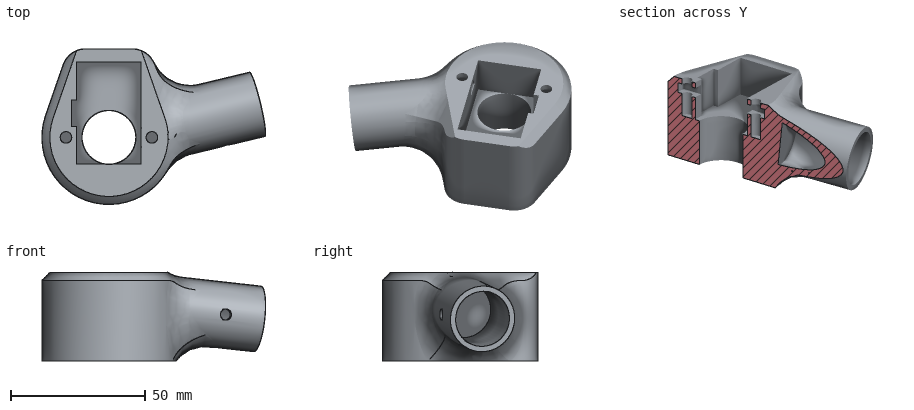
import cadquery as cq
import math

body_radius = 25.0
body_height = 33.0
rear_y = 33.0
rear_half_width = 15.0
rim_chamfer = 3.0
rim_slope = math.radians(45)
rear_corner_radius = 9.0

pocket_half_width = 12.0
pocket_front_y = -10.0
pocket_rear_y = 28.0
pocket_depth = 15.0
notch_depth = 2.0
notch_front_y = 4.0
notch_rear_y = 14.0
opening_diameter = 20.0

screw_diameter = 4.3
screw_x = 16.0
screw_depth = 15.0
nut_slot_width = 7.0
nut_slot_end_x = 20.0
nut_slot_floor_z = 27.0
nut_slot_height = 3.7

arm_diameter = 24.6
arm_bore_diameter = 20.6
arm_bore_depth = 30.0
arm_yaw = 13.5
arm_pitch = 6.2
arm_end = cq.Vector(55.21, 12.3, 15.7)
arm_length = 50.0
arm_blend_radius = 15.0
set_screw_diameter = 4.2
set_screw_from_end = 15.0

bisection_steps = 40
relief_stations = 8
relief_clearance = 0.02

top_margin = 6.0
bottom_margin = 15.0

blend_seam_x = 30.0

yaw = math.radians(arm_yaw)
pitch = math.radians(arm_pitch)
arm_direction = cq.Vector(
    math.cos(yaw) * math.cos(pitch),
    math.sin(yaw) * math.cos(pitch),
    -math.sin(pitch),
)
arm_side = cq.Vector(math.sin(yaw), -math.cos(yaw), 0)

side_normal = math.atan2(rear_y, rear_half_width) - math.acos(
    body_radius / math.hypot(rear_half_width, rear_y)
)
tangent_x = body_radius * math.cos(side_normal)
tangent_y = body_radius * math.sin(side_normal)


def box_between(x_range, y_range, z_range):
    """Axis-aligned block spanning three (low, high) ranges."""
    size = [high - low for low, high in (x_range, y_range, z_range)]
    corner = (x_range[0], y_range[0], z_range[0])
    return cq.Workplane("XY").box(*size, centered=False).translate(corner)


def body_prism(bottom_z, top_z):
    """Plain body outline: a front arc, two tangent sides and a straight rear edge."""
    return (
        cq.Workplane("XY", origin=(0, 0, bottom_z))
        .moveTo(rear_half_width, rear_y)
        .lineTo(tangent_x, tangent_y)
        .threePointArc((0, -body_radius), (-tangent_x, tangent_y))
        .lineTo(-rear_half_width, rear_y)
        .close()
        .extrude(top_z - bottom_z)
    )


def tall_body():
    """Body carried on past both flat faces, with its rim slope continued upwards."""
    bottom_z = -bottom_margin
    top_z = body_height + top_margin
    sloped = body_prism(bottom_z, top_z).faces(">Z").edges("not >Y").chamfer(rim_chamfer + top_margin)
    rounded = body_prism(bottom_z, top_z).edges("|Z and >Y").fillet(rear_corner_radius)
    return sloped.intersect(rounded)


def arm():
    start = arm_end - arm_direction * arm_length
    return cq.Workplane(cq.Solid.makeCylinder(arm_diameter / 2, arm_length, start, arm_direction))


def root_between(function, low, high):
    """Bisect for the zero of a function that changes sign between low and high."""
    rising = function(high) > 0
    for _ in range(bisection_steps):
        middle = (low + high) / 2
        if (function(middle) > 0) == rising:
            high = middle
        else:
            low = middle
    return (low + high) / 2


def edge_relief(edge_radius, edge_z, vertical, least_tilt):
    """Path swept by a blend-sized ball that rolls along a body edge while touching the arm.

    The edge lies at edge_z and its front arc has edge_radius. The ball is tilted away from the
    outward direction by at least least_tilt, upwards (vertical = 1) or downwards (vertical = -1).
    """

    def ball_center(along_edge, tilt):
        angle = side_normal + min(along_edge, 0) / edge_radius
        outward = cq.Vector(math.cos(angle), math.sin(angle), 0)
        along_side = cq.Vector(-outward.y, outward.x, 0) * max(along_edge, 0)
        offset = outward * math.cos(tilt) + cq.Vector(0, 0, vertical * math.sin(tilt))
        edge_point = outward * edge_radius + along_side + cq.Vector(0, 0, edge_z)
        return edge_point + offset * arm_blend_radius

    def arm_gap(along_edge, tilt):
        from_axis = (ball_center(along_edge, tilt) - arm_end).cross(arm_direction).Length
        return from_axis - arm_diameter / 2 - arm_blend_radius

    start = root_between(lambda s: arm_gap(s, least_tilt), -edge_radius, 0)
    end = root_between(lambda s: arm_gap(s, least_tilt), 0, edge_radius)
    centers = []
    for i in range(relief_stations + 1):
        s = start + (end - start) * (1 - math.cos(math.pi * i / relief_stations)) / 2
        tilt = root_between(lambda t: arm_gap(s, t), least_tilt, math.pi / 2)
        centers.append(ball_center(s, tilt))
    path = cq.Workplane("XY").spline(centers)
    start_plane = cq.Plane(centers[0], normal=path.val().tangentAt(0))
    return cq.Workplane(start_plane).circle(arm_blend_radius - relief_clearance).sweep(path)


def bottom_relief():
    return edge_relief(body_radius, 0, -1, 0)


def top_relief():
    return edge_relief(body_radius - rim_chamfer, body_height, 1, rim_slope)


def body_with_arm():
    """Body and arm joined by a rounded blend, then trimmed to the body height."""
    joined = tall_body().union(arm())
    joint_region = cq.selectors.BoxSelector(
        (rear_half_width, -body_radius, 0), (body_radius, rear_y, body_height)
    )
    joint = joined.edges(joint_region).edges("%BSPLINE or %ELLIPSE")
    blended = joint.fillet(arm_blend_radius)
    reach = 2 * (body_radius + arm_length)
    z_range = (0, body_height)
    body_part = blended.intersect(box_between((-reach, blend_seam_x), (-reach, reach), z_range))
    arm_part = blended.intersect(box_between((blend_seam_x, reach), (-reach, reach), z_range))
    return body_part.union(arm_part, clean=False)


def pocket():
    """Rectangular pocket with a shallow notch in its left side."""
    z_range = (body_height - pocket_depth, body_height)
    main = box_between(
        (-pocket_half_width, pocket_half_width), (pocket_front_y, pocket_rear_y), z_range
    )
    notch = box_between(
        (-pocket_half_width - notch_depth, 0), (notch_front_y, notch_rear_y), z_range
    )
    return main.union(notch)


def opening():
    return cq.Workplane("XY").circle(opening_diameter / 2).extrude(body_height)


def screw_hole(side):
    """Blind screw hole with a nut slot running into the pocket; side is -1 or 1."""
    hole = (
        cq.Workplane("XY", origin=(side * screw_x, 0, body_height - screw_depth))
        .circle(screw_diameter / 2)
        .extrude(screw_depth)
    )
    slot = box_between(
        sorted((0, side * nut_slot_end_x)),
        (-nut_slot_width / 2, nut_slot_width / 2),
        (nut_slot_floor_z, nut_slot_floor_z + nut_slot_height),
    )
    return hole.union(slot)


def arm_bore():
    return cq.Workplane(
        cq.Solid.makeCylinder(arm_bore_diameter / 2, arm_bore_depth, arm_end, arm_direction * -1)
    )


def set_screw_hole():
    """Hole through the front wall of the arm, square to the arm axis."""
    start = arm_end - arm_direction * set_screw_from_end
    return cq.Workplane(
        cq.Solid.makeCylinder(set_screw_diameter / 2, arm_diameter, start, arm_side)
    )


cutting_tools = [
    bottom_relief(),
    top_relief(),
    pocket(),
    opening(),
    screw_hole(-1),
    screw_hole(1),
    arm_bore(),
    set_screw_hole(),
]
result = body_with_arm()
for tool in cutting_tools:
    result = result.cut(tool, clean=False)